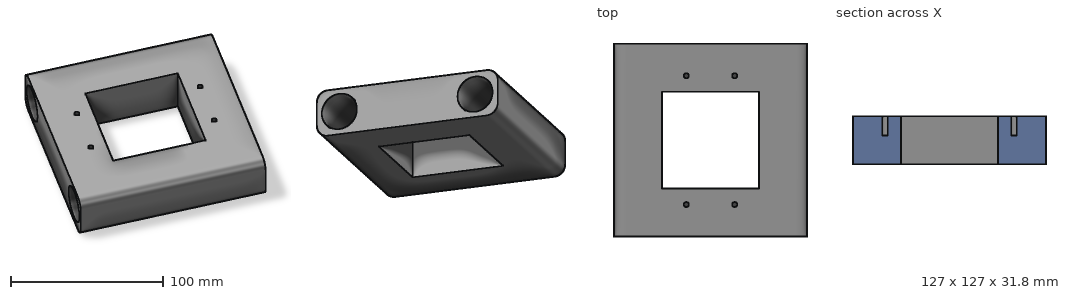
import cadquery as cq

side_length = 127.0
thickness = 31.75
edge_radius = 7.62

window_size = side_length / 2

bore_diameter = 24.69
bore_offset = side_length / 2 - thickness / 2

screw_diameter = 3.33
screw_depth = 12.7
screw_spacing_x = side_length / 4
screw_spacing_y = side_length * 2 / 3


def rounded_block():
    """Square block centred on the origin, its four edges along Y rounded."""
    block = cq.Workplane("XY").box(side_length, side_length, thickness)
    return block.edges("|Y").fillet(edge_radius)


def window():
    """Square prism that opens the middle of the block from top to bottom."""
    return cq.Workplane("XY").box(window_size, window_size, thickness)


def lengthwise_bores():
    """Two cylinders running the full length of the block along Y."""
    return (
        cq.Workplane("XZ")
        .pushPoints([(-bore_offset, 0), (bore_offset, 0)])
        .circle(bore_diameter / 2)
        .extrude(side_length / 2, both=True)
    )


def screw_holes():
    """Four flat-bottomed cylinders sunk from the top face."""
    return (
        cq.Workplane("XY", origin=(0, 0, thickness / 2))
        .rarray(screw_spacing_x, screw_spacing_y, 2, 2)
        .circle(screw_diameter / 2)
        .extrude(-screw_depth)
    )


result = rounded_block().cut(window()).cut(lengthwise_bores()).cut(screw_holes())